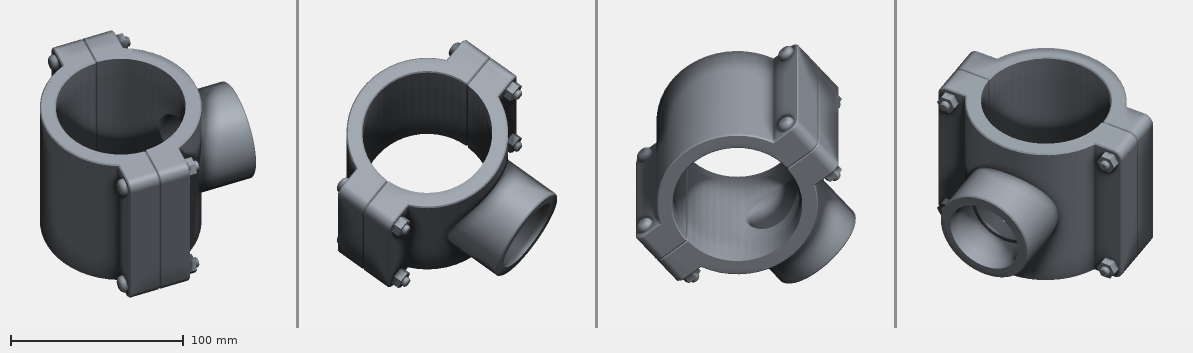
import cadquery as cq

BODY_HEIGHT = 98.0
EAR_SPAN = 122.0
EAR_THICKNESS = 18.9
EAR_CORNER_RADIUS = 6.0
SHELL_RADIUS = 46.8
BORE_RADIUS = 37.6
EDGE_CHAMFER = 0.75

BRANCH_END = 73.1
BRANCH_DIAMETER = 58.3
BRANCH_BORE_DIAMETER = 40.0
SOCKET_DIAMETER = 44.9
SOCKET_START = 48.0

BOLT_X = 53.1
BOLT_Z = 41.0
HEAD_DIAMETER = 10.0
HEAD_HEIGHT = 4.0
HEAD_FLAT_DIAMETER = 4.0
STUD_DIAMETER = 6.0
STUD_PROTRUSION = 7.8
STUD_CHAMFER = 0.7
NUT_SIDES = 6
NUT_ACROSS_CORNERS = 11.6
NUT_HEIGHT = 5.0


def cylinder_y(diameter, start, end):
    """Cylinder on the Y axis between two Y positions."""
    return cq.Workplane("XZ", origin=(0, start, 0)).circle(diameter / 2).extrude(start - end)


def cylinder_z(radius):
    """Full-height cylinder on the Z axis."""
    return cq.Workplane("XY", origin=(0, 0, -BODY_HEIGHT / 2)).circle(radius).extrude(BODY_HEIGHT)


def half_blank():
    """Clamp half on the +Y side without its bore: half cylinder plus two ears."""
    shell = cylinder_z(SHELL_RADIUS)
    rear_space = cq.Workplane("XY").box(
        EAR_SPAN, SHELL_RADIUS, BODY_HEIGHT, centered=(True, False, True)
    )
    ears = (
        cq.Workplane("XY")
        .box(EAR_SPAN, EAR_THICKNESS, BODY_HEIGHT, centered=(True, False, True))
        .edges("|Y")
        .fillet(EAR_CORNER_RADIUS)
    )
    return shell.intersect(rear_space).union(ears)


def chamfer_sharp_edges(half):
    """Chamfer every edge but the tangent corner lines and the ear-to-shell corners."""
    inner_corners = cq.selectors.BoxSelector(
        (-SHELL_RADIUS, EAR_THICKNESS / 2, -EDGE_CHAMFER),
        (SHELL_RADIUS, SHELL_RADIUS, EDGE_CHAMFER),
    )
    sharp_edges = half.edges("not |Y").edges(cq.selectors.InverseSelector(inner_corners))
    return sharp_edges.chamfer(EDGE_CHAMFER)


def branch():
    pipe = cylinder_y(BRANCH_DIAMETER, 0, BRANCH_END)
    return pipe.faces(">Y").edges().chamfer(EDGE_CHAMFER)


def bolt_and_nut():
    """Button-head bolt through both ears with a hexagon nut at the rear."""
    head = cylinder_y(HEAD_DIAMETER, -EAR_THICKNESS - HEAD_HEIGHT, 0)
    head = head.faces("<Y").edges().fillet((HEAD_DIAMETER - HEAD_FLAT_DIAMETER) / 2)
    stud = cylinder_y(STUD_DIAMETER, 0, EAR_THICKNESS + STUD_PROTRUSION)
    stud = stud.faces(">Y").edges().chamfer(STUD_CHAMFER)
    nut = (
        cq.Workplane("XZ", origin=(0, EAR_THICKNESS, 0))
        .polygon(NUT_SIDES, NUT_ACROSS_CORNERS)
        .extrude(-NUT_HEIGHT)
    )
    return head.union(stud).union(nut)


def chamfer_bore_corners(half):
    """Chamfer the two upright edges where the bore meets the split plane."""
    for x in (-BORE_RADIUS, BORE_RADIUS):
        half = half.edges(cq.selectors.NearestToPointSelector((x, 0, 0))).chamfer(EDGE_CHAMFER)
    return half


plain_half = chamfer_sharp_edges(half_blank().cut(cylinder_z(BORE_RADIUS))).mirror("XZ")

branch_half = chamfer_sharp_edges(half_blank()).union(branch()).cut(cylinder_z(BORE_RADIUS))
branch_half = chamfer_bore_corners(branch_half)
branch_half = branch_half.cut(cylinder_y(BRANCH_BORE_DIAMETER, 0, BRANCH_END))
branch_half = branch_half.cut(cylinder_y(SOCKET_DIAMETER, SOCKET_START, BRANCH_END))

result = plain_half.union(branch_half)
for x in (-BOLT_X, BOLT_X):
    for z in (-BOLT_Z, BOLT_Z):
        result = result.union(bolt_and_nut().translate((x, 0, z)))